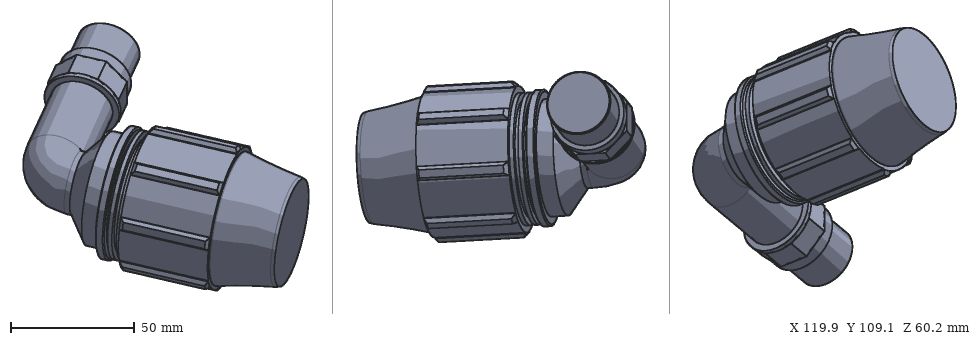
import cadquery as cq
import math


overall_length = 119.9

pipe_dia = 26.5
pipe_radius = pipe_dia / 2
tail_end = 79.0
tail_chamfer = 0.5
flange_dia = 32.0
flange_start = 43.1
octagon_start = 45.2
collar_dia = 30.5
collar_start = 55.9
collar_end = 61.4
octagon_sides = 8

bend_radius = 10.8

body_dia = 48.0
body_cone_start = 13.3
body_cone_end = 21.9
seal_ring_dia = 55.7
seal_ring_start = 28.9
seal_ring_width = 3.7
seal_bevel_length = 0.8
seal_bevel_depth = 0.5
thread_ring_dia = 54.0
thread_ring_start = 34.0
thread_ring_width = 1.8
thread_pitch = 3.7

nut_dia = 59.7
nut_start = 39.5
nut_end = 77.7
nose_end = overall_length - flange_dia / 2
nose_root_radius = 28.0
nose_tip_radius = 23.0
nose_neck = 0.5
nose_sag = 0.4
nose_edge = 1.5
nose_edge_drop = 0.5

rib_count = 8
rib_top_radius = 31.9
rib_top_width = 3.4
rib_base_width = 5.8
rib_base_radius = 30.1
rib_front_slope = 1.8
rib_back_slope = 1.2
rib_root_depth = 2.4


def x_cylinder(start, end, dia):
    """Solid cylinder on the X axis."""
    return cq.Workplane("YZ").workplane(offset=start).circle(dia / 2).extrude(end - start)


def y_cylinder(start, end, dia):
    """Solid cylinder on the Y axis."""
    return cq.Workplane("XZ").workplane(offset=-start).circle(dia / 2).extrude(start - end)


def make_tail():
    pipe = y_cylinder(bend_radius, tail_end, pipe_dia).faces(">Y").chamfer(tail_chamfer)
    flange = y_cylinder(flange_start, octagon_start, flange_dia)
    corner_dia = collar_dia / math.cos(math.pi / octagon_sides)
    octagon = (
        cq.Workplane("XZ")
        .workplane(offset=-octagon_start)
        .transformed(rotate=(0, 0, 180 / octagon_sides))
        .polygon(octagon_sides, corner_dia)
        .extrude(octagon_start - collar_start)
    )
    collar = y_cylinder(collar_start, collar_end, collar_dia)
    return pipe.union(flange).union(octagon).union(collar)


def make_bend():
    """Quarter turn about (bend_radius, bend_radius); the pipe section is cut off at that axis."""
    half_chord = math.sqrt(pipe_radius**2 - bend_radius**2)
    return (
        cq.Workplane("XZ")
        .workplane(offset=-bend_radius)
        .moveTo(bend_radius, -half_chord)
        .threePointArc((-pipe_radius, 0), (bend_radius, half_chord))
        .close()
        .revolve(90, (bend_radius, -1.2, 0), (bend_radius, 1.2, 0))
    )


def make_body():
    neck = x_cylinder(bend_radius, body_cone_start, pipe_dia)
    barrel = (
        cq.Workplane("XY")
        .moveTo(body_cone_start, 0)
        .lineTo(body_cone_start, pipe_radius)
        .lineTo(body_cone_end, body_dia / 2)
        .lineTo(nut_start, body_dia / 2)
        .lineTo(nut_start, 0)
        .close()
        .revolve(360, (0, 0, 0), (1, 0, 0))
    )
    seal_ring = (
        x_cylinder(seal_ring_start, seal_ring_start + seal_ring_width, seal_ring_dia)
        .faces("<X")
        .chamfer(seal_bevel_depth, seal_bevel_length)
        .faces(">X")
        .chamfer(seal_bevel_depth, seal_bevel_length)
    )
    first_ring = x_cylinder(thread_ring_start, thread_ring_start + thread_ring_width, thread_ring_dia)
    last_ring = x_cylinder(thread_ring_start + thread_pitch, nut_start, thread_ring_dia)
    return neck.union(barrel).union(seal_ring).union(first_ring).union(last_ring)


def make_nut():
    nose_start = nut_end + nose_neck
    nose_edge_start = nose_end - nose_edge
    nose_middle = (
        (nose_start + nose_edge_start) / 2,
        (nose_root_radius + nose_tip_radius) / 2 - nose_sag,
    )
    return (
        cq.Workplane("XY")
        .moveTo(nut_start, 0)
        .lineTo(nut_start, nut_dia / 2)
        .lineTo(nut_end, nut_dia / 2)
        .lineTo(nut_end, nose_root_radius)
        .lineTo(nose_start, nose_root_radius)
        .threePointArc(nose_middle, (nose_edge_start, nose_tip_radius))
        .lineTo(nose_end, nose_tip_radius - nose_edge_drop)
        .lineTo(nose_end, 0)
        .close()
        .revolve(360, (0, 0, 0), (1, 0, 0))
    )


def make_rib():
    """Rib at the top of the nut: sloping sides and ends, with a root sunk into the nut."""
    section = (
        cq.Workplane("YZ")
        .workplane(offset=nut_start)
        .polyline(
            [
                (-rib_base_width / 2, rib_base_radius - rib_root_depth),
                (rib_base_width / 2, rib_base_radius - rib_root_depth),
                (rib_base_width / 2, rib_base_radius),
                (rib_top_width / 2, rib_top_radius),
                (-rib_top_width / 2, rib_top_radius),
                (-rib_base_width / 2, rib_base_radius),
            ]
        )
        .close()
        .extrude(nut_end - nut_start)
    )
    side_outline = (
        cq.Workplane("XZ")
        .polyline(
            [
                (nut_start, rib_base_radius - rib_root_depth),
                (nut_end, rib_base_radius - rib_root_depth),
                (nut_end, rib_base_radius),
                (nut_end - rib_back_slope, rib_top_radius),
                (nut_start + rib_front_slope, rib_top_radius),
                (nut_start, rib_base_radius),
            ]
        )
        .close()
        .extrude(rib_base_width / 2, both=True)
    )
    return section.intersect(side_outline)


result = make_tail().union(make_bend()).union(make_body()).union(make_nut())

rib = make_rib()
rib_step = 360 / rib_count
for index in range(rib_count):
    angle = (index + 0.5) * rib_step
    result = result.union(rib.rotate((0, 0, 0), (1, 0, 0), angle))